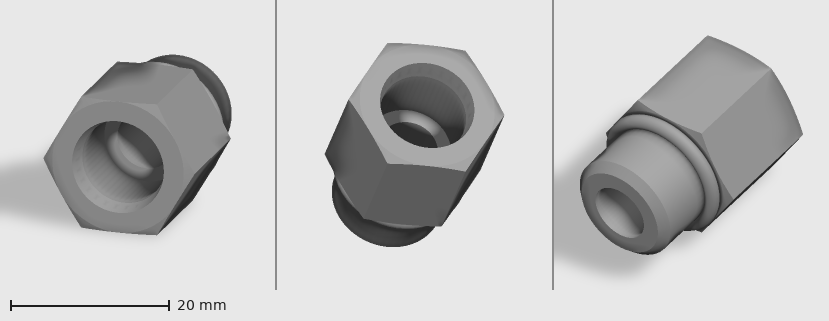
import cadquery as cq
import math

total_length = 25.65
across_flats = 17.4
hex_length = 15.6

corner_chamfer_length = 0.45

spigot_diameter = 14.25
spigot_chamfer = 1.13
ring_outer_diameter = 17.35
ring_thickness = 1.92

through_diameter = 7.62
mouth_diameter = 12.15
socket_diameter = 11.08
mouth_half_angle = 12.0
socket_depth = 11.55

across_corners = across_flats / math.cos(math.pi / 6)
front_y = -total_length / 2
hex_back_y = front_y + hex_length
back_y = front_y + total_length


def revolve_about_y(points):
    """Revolve a closed outline of (radius, y) points about the Y axis."""
    return cq.Workplane("XY").polyline(points).close().revolve(360, (0, 0, 0), (0, 1, 0))


def hex_body():
    """Hexagon with flats facing +Z and -Z, its corners turned off at both ends."""
    prism = (
        cq.Workplane("XZ", origin=(0, hex_back_y, 0))
        .polygon(6, across_corners)
        .extrude(hex_length)
    )
    flat_radius = across_flats / 2
    corner_radius = across_corners / 2
    envelope = revolve_about_y([
        (0, front_y),
        (flat_radius, front_y),
        (corner_radius, front_y + corner_chamfer_length),
        (corner_radius, hex_back_y - corner_chamfer_length),
        (flat_radius, hex_back_y),
        (0, hex_back_y),
    ])
    return prism.intersect(envelope)


def spigot():
    """Plain round end with a chamfered rim, starting at the back of the hexagon."""
    radius = spigot_diameter / 2
    return revolve_about_y([
        (0, hex_back_y),
        (radius, hex_back_y),
        (radius, back_y - spigot_chamfer),
        (radius - spigot_chamfer, back_y),
        (0, back_y),
    ])


def sealing_ring():
    """Round-section ring seated against the back of the hexagon."""
    section_radius = ring_thickness / 2
    centre_radius = ring_outer_diameter / 2 - section_radius
    centre = cq.Vector(0, hex_back_y + section_radius, 0)
    torus = cq.Solid.makeTorus(centre_radius, section_radius, centre, cq.Vector(0, 1, 0))
    return cq.Workplane(torus)


def stepped_bore():
    """Tapered mouth, socket and narrower through hole, as one cutting body."""
    mouth_taper_length = (
        (mouth_diameter - socket_diameter) / 2 / math.tan(math.radians(mouth_half_angle))
    )
    socket_end_y = front_y + socket_depth
    return revolve_about_y([
        (0, front_y),
        (mouth_diameter / 2, front_y),
        (socket_diameter / 2, front_y + mouth_taper_length),
        (socket_diameter / 2, socket_end_y),
        (through_diameter / 2, socket_end_y),
        (through_diameter / 2, back_y),
        (0, back_y),
    ])


result = hex_body().union(spigot()).union(sealing_ring()).cut(stepped_bore())